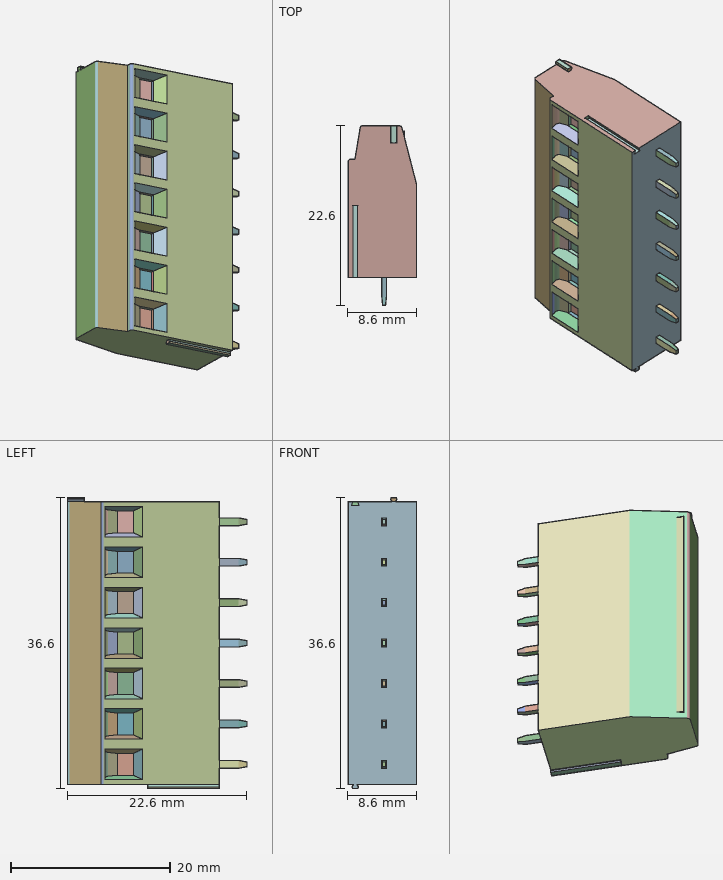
import cadquery as cq
import math

POLES = 7
PITCH = 5.08
BODY_LENGTH = POLES * PITCH

BODY_WIDTH = 8.6
BODY_HEIGHT = 19.1
SHOULDER_DROP = 4.2
SHOULDER_WIDTH = 0.85
FRONT_TOP_INSET = 1.55
BACK_SLOPE_DROP = 7.3
BACK_SLOPE_ANGLE = 14.5
EDGE_RADIUS = 0.35
BACK_EDGE_RADIUS = 0.4

ENTRY_DROP = 4.75
ENTRY_WIDTH = 4.7
ENTRY_TOP_Y = BODY_HEIGHT - ENTRY_DROP
ENTRY_BOTTOM_Y = ENTRY_TOP_Y - ENTRY_WIDTH
ENTRY_HEIGHT = 3.84
THROAT_HEIGHT = 2.76
FUNNEL_DEPTH = 1.35
FLOOR_DEPTH = 1.85
FUNNEL_RUN = 1.14
THROAT_BOTTOM_Y = ENTRY_BOTTOM_Y + FUNNEL_RUN
LIP_DEPTH = 0.5
LEDGE_DEPTH = 1.06
LEDGE_CORNER_WIDTH = 0.36
LEDGE_LENGTH = 1.2
LEDGE_ANGLE = 16.0

PIN_X = 4.53
PIN_WIDTH = 0.6
PIN_THICKNESS = 1.0
PIN_LENGTH = 3.5
PIN_TAPER_LENGTH = 1.05
PIN_TIP_WIDTH = 0.4
PIN_TIP_THICKNESS = 0.6
PIN_EMBED = 0.5

RAIL_HEIGHT = 0.5
RAIL_NECK_WIDTH = 0.46
RAIL_HEAD_WIDTH = 0.84
RAIL_TIP_WIDTH = 0.66
RAIL_FLARE_HEIGHT = 0.3
LONG_RAIL_X = 0.9
LONG_RAIL_LENGTH = 9.0
SHORT_RAIL_X = 5.74
SHORT_RAIL_LENGTH = 2.15
GROOVE_MOUTH_WIDTH = 0.6
GROOVE_FLOOR_WIDTH = 0.96
GROOVE_DEPTH = 0.5
GROOVE_LENGTH = 9.05

RIB_DROP = 0.7
RIB_X = 7.12
RIB_END_MARGIN = 1.0


def back_slope_x(drop):
    """X of the back slope at a given distance below the top face."""
    return BODY_WIDTH - (BACK_SLOPE_DROP - drop) * math.tan(math.radians(BACK_SLOPE_ANGLE))


def make_housing():
    shoulder_y = BODY_HEIGHT - SHOULDER_DROP
    body = (
        cq.Workplane("XY")
        .polyline([
            (0, 0),
            (BODY_WIDTH, 0),
            (BODY_WIDTH, BODY_HEIGHT - BACK_SLOPE_DROP),
            (back_slope_x(0), BODY_HEIGHT),
            (FRONT_TOP_INSET, BODY_HEIGHT),
            (SHOULDER_WIDTH, shoulder_y),
            (0, shoulder_y),
        ])
        .close()
        .extrude(BODY_LENGTH)
    )
    mid_z = BODY_LENGTH / 2
    for x, y, radius in [
        (0, shoulder_y, EDGE_RADIUS),
        (FRONT_TOP_INSET, BODY_HEIGHT, EDGE_RADIUS),
        (back_slope_x(0), BODY_HEIGHT, BACK_EDGE_RADIUS),
    ]:
        body = body.edges(cq.selectors.NearestToPointSelector((x, y, mid_z))).fillet(radius)
    return body


def make_wire_entry(z):
    """Funnel with a rounded, sloping ledge and a straight throat, centred at z."""
    corner_y = ENTRY_TOP_Y - LEDGE_CORNER_WIDTH
    ledge_end_y = corner_y - LEDGE_LENGTH
    ledge_end_x = LEDGE_DEPTH + LEDGE_LENGTH * math.tan(math.radians(LEDGE_ANGLE))
    side_profile = (
        cq.Workplane("XY")
        .moveTo(0, ENTRY_TOP_Y)
        .lineTo(LIP_DEPTH, ENTRY_TOP_Y)
        .tangentArcPoint((LEDGE_DEPTH, corner_y), relative=False)
        .lineTo(ledge_end_x, ledge_end_y)
        .lineTo(FLOOR_DEPTH, ledge_end_y)
        .lineTo(FLOOR_DEPTH, THROAT_BOTTOM_Y)
        .lineTo(FUNNEL_DEPTH, THROAT_BOTTOM_Y)
        .lineTo(0, ENTRY_BOTTOM_Y)
        .close()
        .extrude(ENTRY_HEIGHT / 2, both=True)
    )
    funnel = (
        cq.Workplane("XZ")
        .polyline([
            (0, ENTRY_HEIGHT / 2),
            (FUNNEL_DEPTH, THROAT_HEIGHT / 2),
            (FLOOR_DEPTH, THROAT_HEIGHT / 2),
            (FLOOR_DEPTH, -THROAT_HEIGHT / 2),
            (FUNNEL_DEPTH, -THROAT_HEIGHT / 2),
            (0, -ENTRY_HEIGHT / 2),
        ])
        .close()
        .extrude(-BODY_HEIGHT)
    )
    return side_profile.intersect(funnel).translate((0, 0, z))


def make_pin(z):
    """Rectangular pin pointing along -Y with a tapered tip."""
    taper_y = PIN_TAPER_LENGTH - PIN_LENGTH
    shank = cq.Workplane("XY").box(
        PIN_WIDTH, PIN_EMBED - taper_y, PIN_THICKNESS, centered=(True, False, True)
    ).translate((0, taper_y, 0))
    tip = (
        cq.Workplane("XZ", origin=(0, taper_y, 0))
        .rect(PIN_WIDTH, PIN_THICKNESS)
        .workplane(offset=PIN_TAPER_LENGTH)
        .rect(PIN_TIP_WIDTH, PIN_TIP_THICKNESS)
        .loft()
    )
    return shank.union(tip).translate((PIN_X, 0, z))


def make_rail(x, start_y, length, base_z, direction):
    """Rail along +Y that widens away from the end face; direction is +1 or -1 along Z."""
    half_outline = [
        (RAIL_NECK_WIDTH / 2, 0),
        (RAIL_HEAD_WIDTH / 2, RAIL_FLARE_HEIGHT),
        (RAIL_TIP_WIDTH / 2, RAIL_HEIGHT),
    ]
    right_side = [(x + half, base_z + direction * rise) for half, rise in half_outline]
    left_side = [(x - half, base_z + direction * rise) for half, rise in reversed(half_outline)]
    return (
        cq.Workplane("XZ", origin=(0, start_y, 0))
        .polyline(right_side + left_side)
        .close()
        .extrude(-length)
    )


def make_groove():
    """Dovetail groove in the upper end face, open at the seating face."""
    floor_z = BODY_LENGTH - GROOVE_DEPTH
    return (
        cq.Workplane("XZ")
        .polyline([
            (LONG_RAIL_X - GROOVE_MOUTH_WIDTH / 2, BODY_LENGTH),
            (LONG_RAIL_X + GROOVE_MOUTH_WIDTH / 2, BODY_LENGTH),
            (LONG_RAIL_X + GROOVE_FLOOR_WIDTH / 2, floor_z),
            (LONG_RAIL_X - GROOVE_FLOOR_WIDTH / 2, floor_z),
        ])
        .close()
        .extrude(-GROOVE_LENGTH)
    )


def make_slope_rib():
    """Triangular rib on the back slope, set in from both end faces."""
    slope_run = (RIB_X - back_slope_x(RIB_DROP)) / math.tan(math.radians(BACK_SLOPE_ANGLE))
    rib_top_y = BODY_HEIGHT - RIB_DROP
    return (
        cq.Workplane("XY", origin=(0, 0, RIB_END_MARGIN))
        .polyline([
            (back_slope_x(RIB_DROP), rib_top_y),
            (RIB_X, rib_top_y),
            (RIB_X, rib_top_y - slope_run),
        ])
        .close()
        .extrude(BODY_LENGTH - 2 * RIB_END_MARGIN)
    )


result = make_housing().cut(make_groove())
for pole in range(POLES):
    pole_z = (pole + 0.5) * PITCH
    result = result.cut(make_wire_entry(pole_z)).union(make_pin(pole_z))

short_rail_y = BODY_HEIGHT - SHORT_RAIL_LENGTH
result = result.union(make_rail(LONG_RAIL_X, 0, LONG_RAIL_LENGTH, 0, -1))
result = result.union(make_rail(SHORT_RAIL_X, short_rail_y, SHORT_RAIL_LENGTH, BODY_LENGTH, 1))
result = result.union(make_slope_rib())